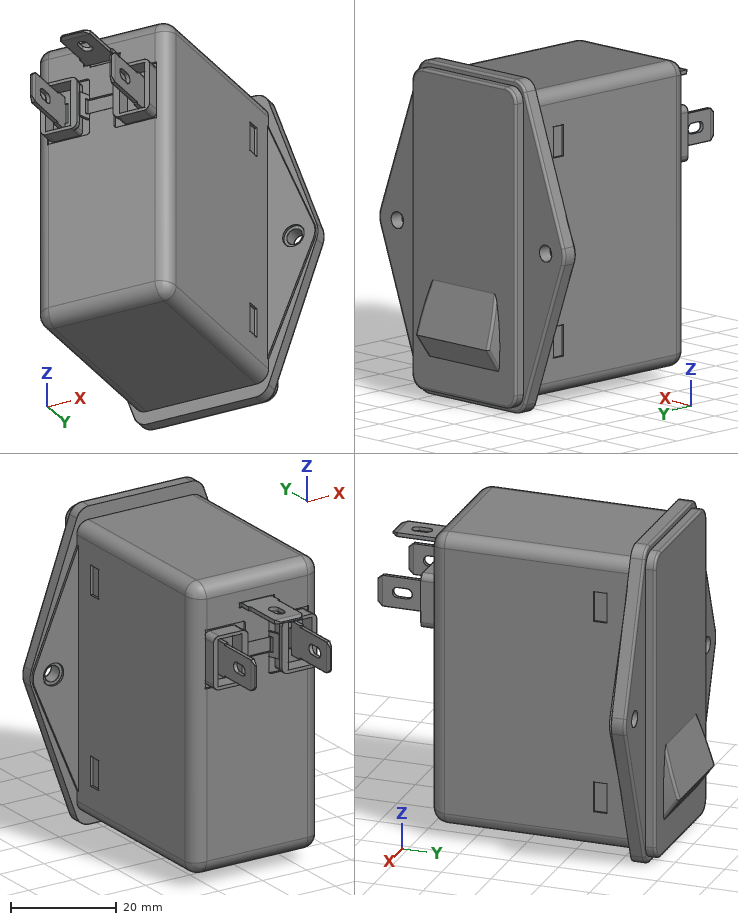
import cadquery as cq
import math


flange_height = 65.0
flange_thickness = 2.9
flange_corner_x = 13.7
flange_corner_radius = 3.0
flange_tip_radius = 5.0
screw_x = 20.0
screw_hole_diameter = 3.3
screw_recess_diameter = 4.6
front_edge_fillet = 0.5

pad_thickness = 0.5
pad_tip_radius = 4.6
pad_corner_z = 25.05

rim_width = 28.0
rim_height = 62.6
rim_thickness = 2.05
rim_corner_radius = 2.9

rocker_width = 19.5
rocker_rise = 3.25
rocker_top_z = -9.4
rocker_apex_z = -19.8
rocker_bottom_z = -24.4
rocker_side_bulge = 1.1
rocker_edge_fillet = 0.5

body_width = 28.8
body_height = 59.5
body_depth = 40.65
body_edge_radius = 2.6
body_rear_radius = 3.0

window_height = 6.1
window_length = 2.7
window_depth = 0.5
window_center_y = -6.15
window_center_z = 19.5

block_outer_x = 11.7
block_inner_x = 3.85
block_height = 11.0
block_center_z = 14.45
block_rise = 2.8
block_corner_radius = 1.25
recess_inner_x = 2.65
recess_height = 12.0
recess_depth = 0.5
recess_corner_radius = 0.6
cavity_outer_x = 10.65
cavity_inner_x = 5.25
cavity_height = 9.65
undercut_x = 4.4
undercut_corner_radius = block_corner_radius - (undercut_x - block_inner_x)
undercut_rise = 1.85

groove_height = 3.1
groove_half_length = 3.2
groove_clearance = 0.8
tongue_height = 5.1
tongue_root_inner_x = 2.75
tongue_root_outer_x = 3.4
tongue_tip_inner_x = 3.7
tongue_tip_outer_x = 3.9
tongue_shoulder_rise = 1.2

blade_width = 6.3
blade_thickness = 0.8
blade_base_width = 6.95
blade_base_length = 2.4
blade_tip_length = 1.05
blade_tip_thickness = 0.3
blade_tip_width = 4.5
blade_slot_length = 4.0
blade_slot_width = 2.1
blade_slot_from_end = 5.05
side_blade_x = 8.55
side_blade_length = 12.6
earth_blade_z = 23.85
earth_blade_length = 11.85

seat_depth = 0.3
seat_step = 0.6
side_seat_length = 4.2
earth_seat_length = 5.1
earth_slot_length = 7.9
earth_slot_width = 1.0

rear_y = -body_depth
recess_floor_y = rear_y + recess_depth
rim_front_y = flange_thickness + rim_thickness


def box(x_range, y_range, z_range):
    """Box between the given pairs of limits."""
    size = [max(r) - min(r) for r in (x_range, y_range, z_range)]
    corner = cq.Vector(min(x_range), min(y_range), min(z_range))
    return cq.Workplane(cq.Solid.makeBox(*size, pnt=corner))


def centered(center, length):
    """Limits of a length centred on a coordinate."""
    return (center - length / 2, center + length / 2)


def plate(points, y_back, thickness):
    """Prism on an outline of (x, z) points, grown from y_back toward +Y."""
    sketch = cq.Workplane("XZ", origin=(0, y_back, 0))
    return sketch.polyline(points).close().extrude(-thickness)


def tapered_hexagon(corner_x, corner_z, tip_radius):
    """Hexagon whose slanted sides are tangent to circles of tip_radius about the screw holes."""
    reach = math.hypot(corner_x - screw_x, corner_z)
    normal_angle = math.atan2(corner_z, corner_x - screw_x) - math.acos(tip_radius / reach)
    tip_x = screw_x + tip_radius / math.cos(normal_angle)
    return [
        (tip_x, 0),
        (corner_x, corner_z),
        (-corner_x, corner_z),
        (-tip_x, 0),
        (-corner_x, -corner_z),
        (corner_x, -corner_z),
    ]


def both_sides(part):
    """The part together with its mirror image across X = 0."""
    return part.union(part.mirror("YZ"))


def make_flange():
    outline = tapered_hexagon(flange_corner_x, flange_height / 2, flange_tip_radius)
    flange = plate(outline, 0, flange_thickness)
    flange = flange.edges("|Y").edges(">X or <X").fillet(flange_tip_radius)
    flange = flange.edges("|Y").edges(">Z or <Z").fillet(flange_corner_radius)
    flange = flange.faces(">Y").edges().fillet(front_edge_fillet)
    pad_outline = tapered_hexagon(body_width / 2, pad_corner_z, pad_tip_radius)
    pad = plate(pad_outline, -pad_thickness, pad_thickness)
    pad = pad.edges("|Y").edges(">X or <X").fillet(pad_tip_radius)
    return flange.union(pad)


def make_rim():
    rim = box(centered(0, rim_width), (0, rim_front_y), centered(0, rim_height))
    rim = rim.edges("|Y").fillet(rim_corner_radius)
    return rim.faces(">Y").edges().fillet(front_edge_fillet)


def make_rocker():
    """Triangular wedge whose sides bow outward toward the apex."""
    profile = [
        (flange_thickness, rocker_top_z),
        (rim_front_y, rocker_top_z),
        (rim_front_y + rocker_rise, rocker_apex_z),
        (rim_front_y, rocker_bottom_z),
        (flange_thickness, rocker_bottom_z),
    ]
    rocker = cq.Workplane("YZ").polyline(profile).close().extrude(rocker_width / 2, both=True)
    side_x = rocker_width / 2
    side_end_x = side_x - rocker_side_bulge
    far_z = 2 * rocker_apex_z - rocker_top_z
    footprint = (
        cq.Workplane("XZ", origin=(0, flange_thickness, 0))
        .moveTo(-side_end_x, rocker_top_z)
        .lineTo(side_end_x, rocker_top_z)
        .threePointArc((side_x, rocker_apex_z), (side_end_x, far_z))
        .lineTo(-side_end_x, far_z)
        .threePointArc((-side_x, rocker_apex_z), (-side_end_x, rocker_top_z))
        .close()
        .extrude(-(rim_thickness + rocker_rise))
    )
    rocker = rocker.intersect(footprint)
    sloped_edges = cq.selectors.BoxSelector(
        (-rocker_width, rim_front_y, rocker_bottom_z),
        (rocker_width, rim_front_y + rocker_rise, rocker_top_z),
    )
    return rocker.edges("not |X").edges(sloped_edges).fillet(rocker_edge_fillet)


def make_body():
    body = box(centered(0, body_width), (rear_y, 0), centered(0, body_height))
    body = body.edges("|Y").fillet(body_edge_radius)
    return body.faces("<Y").edges().fillet(body_rear_radius)


def make_windows():
    windows = cq.Workplane()
    for z in (-window_center_z, window_center_z):
        window = box(
            (body_width / 2 - window_depth, body_width / 2),
            centered(window_center_y, window_length),
            centered(z, window_height),
        )
        windows = windows.add(window)
    return both_sides(windows.combine())


def make_recesses():
    height = centered(block_center_z, recess_height)
    recess = box((recess_inner_x, block_outer_x), (rear_y, recess_floor_y), height)
    return both_sides(recess.edges("|Y").edges("<X").fillet(recess_corner_radius))


def make_groove():
    """Groove cutter, tall enough to trim the flared roots of the tongues too."""
    height = centered(block_center_z, groove_height)
    length = (-groove_half_length, groove_half_length)
    return box(length, (rear_y - groove_clearance, recess_floor_y), height)


def make_block():
    """Hollow block with an overhanging lip on the side facing X = 0."""
    top_y = rear_y - block_rise
    lip_y = rear_y - undercut_rise
    height = centered(block_center_z, block_height)
    lip = box((block_inner_x, block_outer_x), (top_y, lip_y), height)
    lip = lip.edges("|Y").fillet(block_corner_radius)
    wall = box((undercut_x, block_outer_x), (lip_y, recess_floor_y), height)
    wall = wall.edges("|Y").edges(">X").fillet(block_corner_radius)
    wall = wall.edges("|Y").edges("<X").fillet(undercut_corner_radius)
    cavity_z = centered(block_center_z, cavity_height)
    cavity = box((cavity_inner_x, cavity_outer_x), (top_y, recess_floor_y), cavity_z)
    return lip.union(wall).cut(cavity)


def make_tongue():
    """Sloping latch that reaches under the lip of a block."""
    lip_y = rear_y - undercut_rise
    profile = [
        (tongue_root_inner_x, recess_floor_y),
        (tongue_root_outer_x, recess_floor_y),
        (tongue_tip_outer_x, rear_y - tongue_shoulder_rise),
        (tongue_tip_outer_x, lip_y),
        (tongue_tip_inner_x, lip_y),
    ]
    sketch = cq.Workplane("XY", origin=(0, 0, block_center_z))
    return sketch.polyline(profile).close().extrude(tongue_height / 2, both=True)


def make_blade(length):
    """Blade lying flat across Z, centred on X = Z = 0, reaching `length` behind the housing."""
    end_y = rear_y - length
    taper_y = end_y + blade_tip_length
    thickness = centered(0, blade_thickness)
    foot_y = recess_floor_y + seat_depth
    blade = box(centered(0, blade_width), (taper_y, foot_y), thickness)
    base = box(centered(0, blade_base_width), (rear_y - blade_base_length, foot_y), thickness)
    tip = (
        cq.Workplane("XZ", origin=(0, taper_y, 0))
        .rect(blade_width, blade_thickness)
        .workplane(offset=blade_tip_length)
        .rect(blade_tip_width, blade_tip_thickness)
        .loft()
    )
    slot = (
        cq.Workplane("XY", origin=(0, end_y + blade_slot_from_end, 0))
        .slot2D(blade_slot_length, blade_slot_width, 90)
        .extrude(blade_thickness, both=True)
    )
    return blade.union(base).union(tip).cut(slot)


def make_side_blade():
    upright = make_blade(side_blade_length).rotate((0, 0, 0), (0, 1, 0), 90)
    return upright.translate((side_blade_x, 0, block_center_z))


def make_side_seat():
    inner_x = side_blade_x - blade_thickness / 2 - seat_step
    height = centered(block_center_z, side_seat_length)
    return box((inner_x, side_blade_x), (recess_floor_y, recess_floor_y + seat_depth), height)


def make_earth_seat():
    seat_y = (rear_y, rear_y + seat_depth)
    slot = box(centered(0, earth_slot_length), seat_y, centered(earth_blade_z, earth_slot_width))
    lower_z = earth_blade_z - blade_thickness / 2 - seat_step
    return slot.union(box(centered(0, earth_seat_length), seat_y, (lower_z, earth_blade_z)))


def make_screw_holes():
    """Through holes, each with a wider recess through the pad."""
    pad_face = cq.Workplane("XZ", origin=(0, -pad_thickness, 0)).pushPoints([(-screw_x, 0), (screw_x, 0)])
    holes = pad_face.circle(screw_hole_diameter / 2).extrude(-(pad_thickness + flange_thickness))
    recesses = pad_face.circle(screw_recess_diameter / 2).extrude(-pad_thickness)
    return holes.union(recesses)


housing = make_flange().union(make_rim()).union(make_rocker()).union(make_body())
side_seats = both_sides(make_side_seat())
for pocket in (make_windows(), make_recesses(), side_seats, make_earth_seat()):
    housing = housing.cut(pocket)
housing = housing.cut(make_screw_holes())

housing = housing.union(both_sides(make_tongue())).cut(make_groove())
for fitting in (make_block(), make_side_blade()):
    housing = housing.union(both_sides(fitting))

result = housing.union(make_blade(earth_blade_length).translate((0, 0, earth_blade_z)))